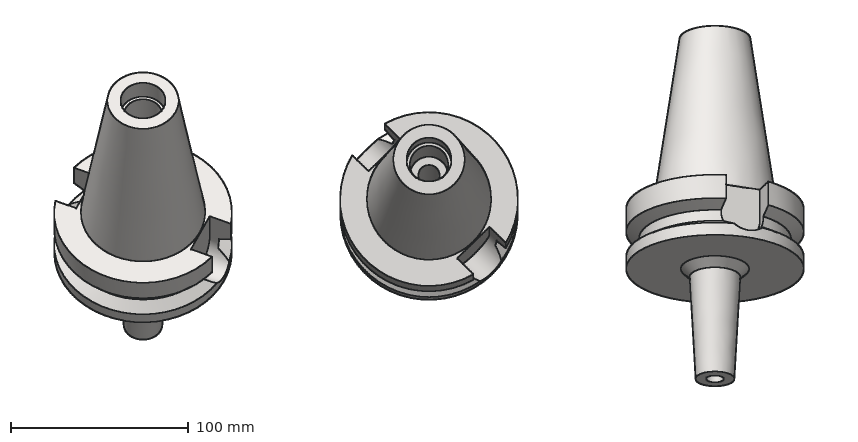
import cadquery as cq

total_length = 206.8
taper_length = 101.7
gauge_gap = 1.5
nose_length = 67.0
flange_top = total_length - taper_length - gauge_gap

taper_small_radius = 20.0
taper_large_radius = 35.0
flange_radius = 50.0
groove_radius = 42.8
nose_root_radius = 19.2
nose_large_radius = 14.3
nose_tip_radius = 11.0

nose_cone_height = 5.0
lower_rim_height = 7.5
groove_flank_height = 4.1
groove_floor_height = 6.6
lower_rim_top = nose_length + lower_rim_height
groove_floor_bottom = lower_rim_top + groove_flank_height
groove_floor_top = groove_floor_bottom + groove_floor_height
upper_rim_bottom = groove_floor_top + groove_flank_height

slot_radius = 12.8
slot_floor_distance = 35.4
slot_bottom = nose_length + 4.3

pilot_radius = 12.6
pilot_depth = 12.8
thread_radius = 10.8
thread_depth = 41.4
channel_radius = 6.0
nose_bore_radius = 5.0
nose_bore_depth = 41.4


def make_body():
    """Revolve the taper, grooved flange and tapered nose about Z."""
    profile = [
        (0, 0),
        (nose_tip_radius, 0),
        (nose_large_radius, nose_length - nose_cone_height),
        (nose_root_radius, nose_length),
        (flange_radius, nose_length),
        (flange_radius, lower_rim_top),
        (groove_radius, groove_floor_bottom),
        (groove_radius, groove_floor_top),
        (flange_radius, upper_rim_bottom),
        (flange_radius, flange_top),
        (taper_large_radius, flange_top),
        (taper_large_radius, flange_top + gauge_gap),
        (taper_small_radius, total_length),
        (0, total_length),
    ]
    return cq.Workplane("XZ").polyline(profile).close().revolve(360, (0, 0), (0, 1))


def make_drive_slot(side):
    """Round-bottomed slot, open at the flange top; side is +1 or -1 along X."""
    arc_center = slot_bottom + slot_radius
    return (
        cq.Workplane("YZ", origin=(side * slot_floor_distance, 0, 0))
        .moveTo(-slot_radius, flange_top)
        .lineTo(-slot_radius, arc_center)
        .threePointArc((0, slot_bottom), (slot_radius, arc_center))
        .lineTo(slot_radius, flange_top)
        .close()
        .extrude(side * flange_radius)
    )


def make_bore(radius, bottom, top):
    """Cylinder about Z between two heights."""
    return cq.Workplane("XY", origin=(0, 0, bottom)).circle(radius).extrude(top - bottom)


result = make_body()

for slot_side in (-1, 1):
    result = result.cut(make_drive_slot(slot_side))

bores = [
    (pilot_radius, total_length - pilot_depth, total_length),
    (thread_radius, total_length - thread_depth, total_length),
    (channel_radius, nose_bore_depth, total_length),
    (nose_bore_radius, 0, total_length),
]
for bore_radius, bore_bottom, bore_top in bores:
    result = result.cut(make_bore(bore_radius, bore_bottom, bore_top))